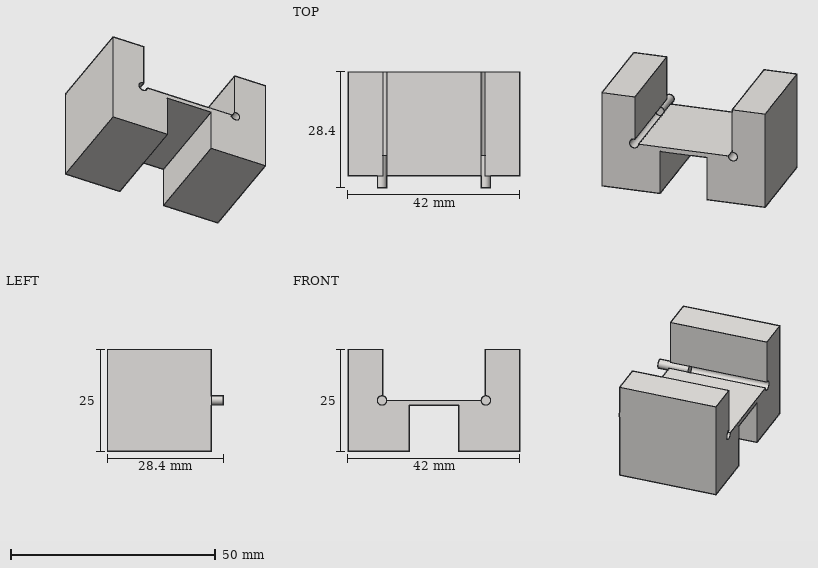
import cadquery as cq

width = 42.0
height = 25.0
body_depth = 25.4
upper_channel_width = 25.0
lower_channel_width = 12.0
web_thickness = 1.2
web_top = height / 2

pin_diameter = 2.3
pin_spacing = 25.4
pin_protrusion = 3.0
pin_seat_depth = 5.0


def channel(channel_width, bottom, top):
    """Rectangular channel running the full depth of the body."""
    return cq.Workplane("XY").box(
        channel_width, body_depth, top - bottom, centered=(True, False, False)
    ).translate((0, 0, bottom))


def rods(start_y, end_y):
    """Pair of cylinders along Y, centred at the level of the web top."""
    return (
        cq.Workplane("XZ", origin=(0, start_y, web_top))
        .pushPoints([(-pin_spacing / 2, 0), (pin_spacing / 2, 0)])
        .circle(pin_diameter / 2)
        .extrude(start_y - end_y)
    )


body = cq.Workplane("XY").box(width, body_depth, height, centered=(True, False, False))
body = body.cut(channel(upper_channel_width, web_top, height))
body = body.cut(channel(lower_channel_width, 0, web_top - web_thickness))

body = body.cut(rods(pin_seat_depth, body_depth))

result = body.union(rods(-pin_protrusion, pin_seat_depth))